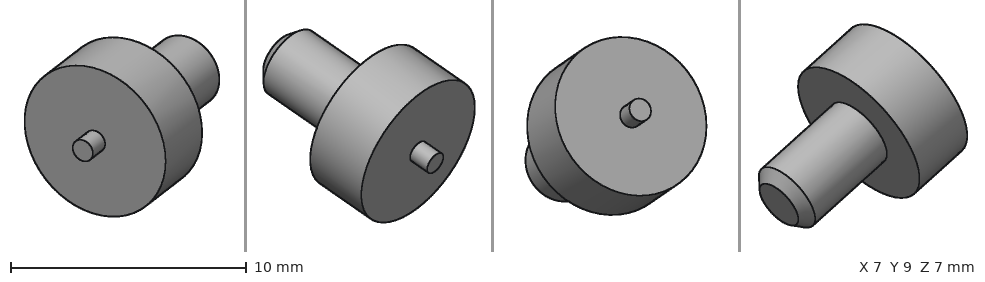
import cadquery as cq

total_length = 9.0
flange_diameter = 7.0
flange_thickness = 3.0
pin_diameter = 1.0
pin_length = 1.0
shank_diameter = 3.25
shank_chamfer = 0.5
shank_length = total_length - flange_thickness - pin_length


def cylinder_along_y(diameter, start_y, length):
    """Solid cylinder on the Y axis, from start_y towards +Y."""
    plane = cq.Plane(origin=(0, start_y, 0), xDir=(1, 0, 0), normal=(0, 1, 0))
    return cq.Workplane(plane).circle(diameter / 2).extrude(length)


flange = cylinder_along_y(flange_diameter, 0, flange_thickness)

pin = cylinder_along_y(pin_diameter, -pin_length, pin_length)

shank = cylinder_along_y(shank_diameter, flange_thickness, shank_length)
shank = shank.faces(">Y").chamfer(shank_chamfer)

result = flange.union(pin).union(shank)